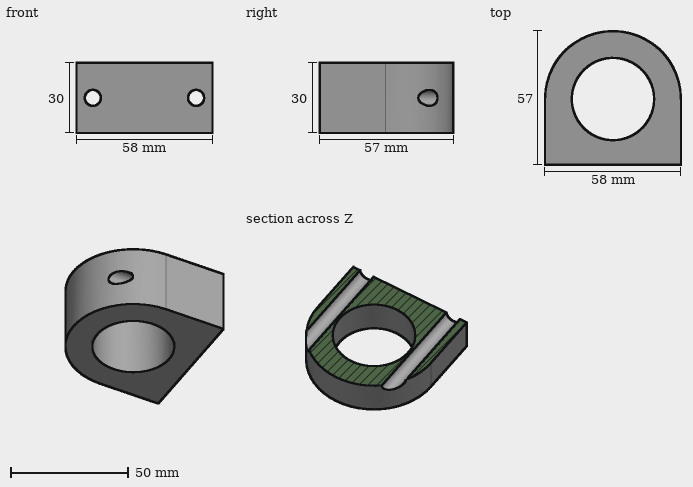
import cadquery as cq

body_width = 58.0
body_height = 30.0
base_to_bore_axis = 28.0
bore_diameter = 35.0
bolt_hole_diameter = 6.75
bolt_hole_spacing = 44.0

outer_radius = body_width / 2
body_depth = base_to_bore_axis + outer_radius


def make_body():
    """D-shaped block: flat base face on -Y, half-round on +Y, bore axis on Z."""
    return (
        cq.Workplane("XY")
        .moveTo(-outer_radius, -base_to_bore_axis)
        .lineTo(outer_radius, -base_to_bore_axis)
        .lineTo(outer_radius, 0)
        .threePointArc((0, outer_radius), (-outer_radius, 0))
        .close()
        .extrude(body_height)
    )


def make_bore():
    """Vertical through bore, concentric with the half-round."""
    return cq.Workplane("XY").circle(bore_diameter / 2).extrude(body_height)


def make_bolt_holes():
    """Pair of through holes along Y, at mid height on either side of the bore."""
    half_spacing = bolt_hole_spacing / 2
    hole_centers = [(side * half_spacing, body_height / 2) for side in (-1, 1)]
    return (
        cq.Workplane("XZ", origin=(0, -base_to_bore_axis, 0))
        .pushPoints(hole_centers)
        .circle(bolt_hole_diameter / 2)
        .extrude(-body_depth)
    )


result = make_body().cut(make_bore()).cut(make_bolt_holes())